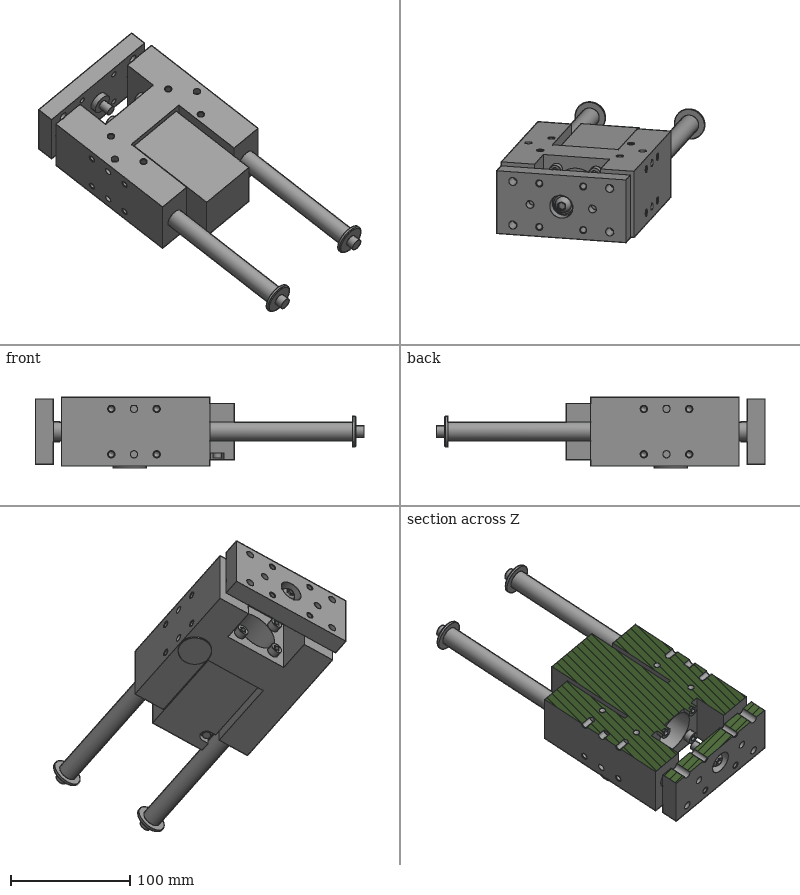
import cadquery as cq
import math

total_length = 276.0
rod_y = 43.0

plate_thickness = 15.2
plate_width = 112.0
plate_height = 55.0
plate_hole_z = 19.0
plate_outer_hole_y = 42.0
plate_outer_hole_diameter = 7.0
plate_tapped_y = 19.0
plate_dowel_y = 27.0
plate_dowel_diameter = 6.5
plate_dowel_depth = 10.0

recess_diameter = 20.0
recess_depth = 8.8
screw_collar_diameter = 17.0
screw_collar_height = 1.7
screw_ball_diameter = 13.8
screw_face_diameter = 7.2
screw_socket_width = 6.0
screw_socket_depth = 2.2
collar_diameter = 17.0
collar_length = 5.0
stub_diameter = 8.0
stub_length = 10.0

rod_diameter = 16.0
flange_diameter = 26.0
flange_thickness = 2.8
flange_chamfer = 0.8
tail_diameter = 10.0
tail_length = 7.0

gap = 6.5
housing_length = 124.8
housing_width = 115.0
housing_height = 58.0
leg_width = 29.0
web_thickness = 30.0
web_offset = 30.0
web_bore_diameter = 38.0

block_length = 85.0
block_width = 50.8
block_height = 47.5
relief_diameter = 11.0
relief_depth = 5.8
relief_setback = 6.0
relief_inset = 5.5
plug_diameter = 7.0
plug_height = 4.5

cap_head_diameter = 10.0
cap_head_height = 6.0
cap_y = 17.0
cap_z = 17.0
cap_socket_width = 5.0
cap_socket_depth = 3.3

tapped_diameter = 5.0
tapped_mouth_diameter = 6.0
tapped_depth = 10.0
drill_point_angle = 118.0
dowel_diameter = 6.0
dowel_depth = 7.0
hole_group_x = 82.8
hole_pitch = 19.0
side_hole_z = 19.0
top_tapped_y = 34.5
top_dowel_y = 49.5

pad_diameter = 28.2
pad_thickness = 1.7
pad_x = 79.2
pad_y = 43.3

housing_front = plate_thickness + gap
housing_rear = housing_front + housing_length
web_front = housing_front + web_offset
web_rear = web_front + web_thickness
flange_rear = total_length - tail_length
flange_front = flange_rear - flange_thickness

ALONG = (1, 0, 0)
UP = (0, 0, 1)
DOWN = (0, 0, -1)


def box(x_min, length, width, height):
    """Box starting at x_min, centred on the X axis."""
    block = cq.Workplane("XY").box(length, width, height, centered=(False, True, True))
    return block.translate((x_min, 0, 0))


def cylinder(diameter, length, start, direction):
    """Cylinder that starts at a point and runs along a direction."""
    solid = cq.Solid.makeCylinder(diameter / 2, length, cq.Vector(*start), cq.Vector(*direction))
    return cq.Workplane(solid)


def hex_socket(width, depth, start):
    """Cutter for a hexagonal socket that runs along +X, with two flats facing +Y and -Y."""
    opening = cq.Plane(origin=start, xDir=(0, 0, 1), normal=ALONG)
    corner_diameter = width / math.cos(math.radians(30))
    return cq.Workplane(opening).polygon(6, corner_diameter).extrude(depth)


def countersink(start, direction):
    """Cutter for the 45 degree mouth of a tapped hole."""
    mouth_radius = tapped_mouth_diameter / 2
    mouth_depth = mouth_radius - tapped_diameter / 2
    cone = cq.Solid.makeCone(
        mouth_radius, tapped_diameter / 2, mouth_depth, cq.Vector(*start), cq.Vector(*direction)
    )
    return cq.Workplane(cone)


def tapped_hole(start, direction):
    """Cutter for a blind hole with a countersunk mouth and a conical drill point."""
    radius = tapped_diameter / 2
    point_length = radius / math.tan(math.radians(drill_point_angle / 2))
    point_start = cq.Vector(*start) + cq.Vector(*direction) * tapped_depth
    point = cq.Solid.makeCone(radius, 0, point_length, point_start, cq.Vector(*direction))
    bore = cylinder(tapped_diameter, tapped_depth, start, direction)
    return bore.union(cq.Workplane(point)).union(countersink(start, direction))


def drill_plate(plate):
    """Blind dowel holes on the middle line, plain and tapped through holes in two rows."""
    for side in (-1, 1):
        dowel = (0, side * plate_dowel_y, 0)
        plate = plate.cut(cylinder(plate_dowel_diameter, plate_dowel_depth, dowel, ALONG))
        for level in (-1, 1):
            z = level * plate_hole_z
            outer = (0, side * plate_outer_hole_y, z)
            plate = plate.cut(cylinder(plate_outer_hole_diameter, plate_thickness, outer, ALONG))
            tapped = (0, side * plate_tapped_y, z)
            plate = plate.cut(cylinder(tapped_diameter, plate_thickness, tapped, ALONG))
            plate = plate.cut(countersink(tapped, ALONG))
    return plate


def ball_screw_head():
    """Socket screw on the recess floor: round collar, half ball and a flat socketed face."""
    ball_radius = screw_ball_diameter / 2
    face_radius = screw_face_diameter / 2
    ball_x = recess_depth - screw_collar_height
    face_x = ball_x - math.sqrt(ball_radius ** 2 - face_radius ** 2)
    mid_angle = (math.asin(face_radius / ball_radius) + math.pi / 2) / 2
    mid = (ball_x - ball_radius * math.cos(mid_angle), ball_radius * math.sin(mid_angle))
    ball = (
        cq.Workplane("XY")
        .moveTo(face_x, 0)
        .lineTo(face_x, face_radius)
        .threePointArc(mid, (ball_x, ball_radius))
        .lineTo(ball_x, 0)
        .close()
        .revolve(360, (0, 0, 0), ALONG)
    )
    collar = cylinder(screw_collar_diameter, screw_collar_height, (ball_x, 0, 0), ALONG)
    socket = hex_socket(screw_socket_width, screw_socket_depth, (face_x, 0, 0))
    return ball.union(collar).cut(socket)


def guide_rod(y):
    """Shaft with an end flange and a thin tail behind it."""
    shaft = cylinder(rod_diameter, flange_front - plate_thickness, (plate_thickness, y, 0), ALONG)
    flange = cylinder(flange_diameter, flange_thickness, (flange_front, y, 0), ALONG)
    flange = flange.faces(">X").chamfer(flange_chamfer)
    tail = cylinder(tail_diameter, tail_length, (flange_rear, y, 0), ALONG)
    return shaft.union(flange).union(tail)


def make_slide():
    slide = drill_plate(box(0, plate_thickness, plate_width, plate_height))
    slide = slide.cut(cylinder(recess_diameter, recess_depth, (0, 0, 0), ALONG))
    slide = slide.union(ball_screw_head())
    collar = cylinder(collar_diameter, collar_length, (plate_thickness, 0, 0), ALONG)
    stub = cylinder(stub_diameter, stub_length, (plate_thickness + collar_length, 0, 0), ALONG)
    slide = slide.union(collar).union(stub)
    for side in (-1, 1):
        slide = slide.union(guide_rod(side * rod_y))
    return slide


def housing_body():
    """H-shaped body with a bored web and a bore for each rod."""
    inner_width = housing_width - 2 * leg_width
    body = box(housing_front, housing_length, housing_width, housing_height)
    body = body.cut(box(housing_front, web_offset, inner_width, housing_height))
    body = body.cut(box(web_rear, housing_rear - web_rear, inner_width, housing_height))
    body = body.cut(cylinder(web_bore_diameter, web_thickness, (web_front, 0, 0), ALONG))
    for side in (-1, 1):
        body = body.cut(cylinder(rod_diameter, housing_length, (housing_front, side * rod_y, 0), ALONG))
    return body


def drill_sides(body):
    """Two rows of a dowel hole between two tapped holes in each outer side face."""
    for side in (-1, 1):
        into = (0, -side, 0)
        y = side * housing_width / 2
        for level in (-1, 1):
            z = level * side_hole_z
            body = body.cut(cylinder(dowel_diameter, dowel_depth, (hole_group_x, y, z), into))
            for end in (-1, 1):
                body = body.cut(tapped_hole((hole_group_x + end * hole_pitch, y, z), into))
    return body


def drill_top(body):
    """A dowel hole and two tapped holes over each leg."""
    z = housing_height / 2
    for side in (-1, 1):
        body = body.cut(cylinder(dowel_diameter, dowel_depth, (hole_group_x, side * top_dowel_y, z), DOWN))
        for end in (-1, 1):
            start = (hole_group_x + end * hole_pitch, side * top_tapped_y, z)
            body = body.cut(tapped_hole(start, DOWN))
    return body


def cylinder_block():
    """Block with a round-ended relief in its lower side edge and a plug inside the relief."""
    bottom = -block_height / 2
    ceiling = bottom + relief_depth
    x = housing_rear + relief_setback
    y = -block_width / 2 + relief_inset
    block = box(web_rear, block_length, block_width, block_height)
    relief = cylinder(relief_diameter, relief_depth, (x, y, bottom), UP)
    mouth = cq.Workplane("XY").box(relief_diameter, relief_inset, relief_depth, centered=(True, False, False))
    relief = relief.union(mouth.translate((x, -block_width / 2, bottom)))
    plug = cylinder(plug_diameter, plug_height, (x, y, ceiling), DOWN)
    return block.cut(relief).union(plug)


def cap_screw_head(y, z):
    """Cylindrical screw head on the front of the web, with a hexagonal socket."""
    face = (web_front - cap_head_height, y, z)
    head = cylinder(cap_head_diameter, cap_head_height, face, ALONG)
    return head.cut(hex_socket(cap_socket_width, cap_socket_depth, face))


def make_housing():
    housing = drill_top(drill_sides(housing_body())).union(cylinder_block())
    for side in (-1, 1):
        for level in (-1, 1):
            housing = housing.union(cap_screw_head(side * cap_y, level * cap_z))
    pad = cylinder(pad_diameter, pad_thickness, (pad_x, pad_y, -housing_height / 2), DOWN)
    return housing.union(pad)


slide = make_slide()
housing = make_housing()

result = cq.Compound.makeCompound([slide.val(), housing.val()])